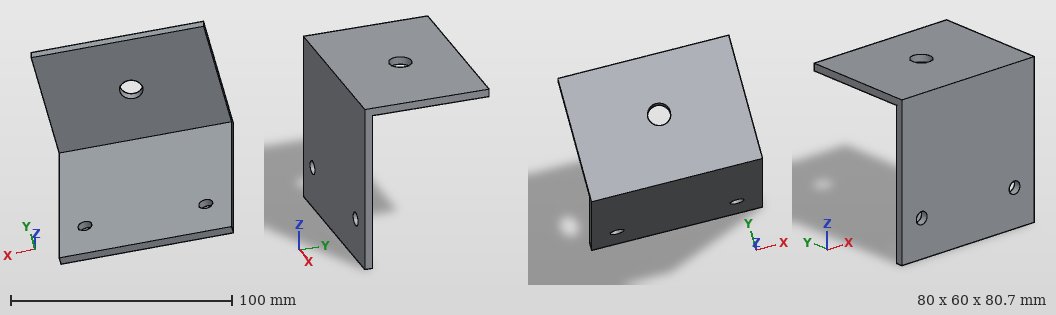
import cadquery as cq

width = 80.0
depth = 60.0
height = 80.7
thickness = 3.8

side_hole_diameter = 6.4
side_hole_spacing = 56.0
side_hole_height = 20.0

top_hole_diameter = 10.5
top_hole_from_back = 28.0


def box_from_front_corner(size_y, size_z, bottom):
    """Full-width plate centred on X with its front face at Y = 0."""
    plate = cq.Workplane("XY").box(width, size_y, size_z, centered=(True, False, False))
    return plate.translate((0, 0, bottom))


upright_plate = box_from_front_corner(thickness, height, 0)
top_plate = box_from_front_corner(depth, thickness, height - thickness)
bracket = upright_plate.union(top_plate)

side_holes = (
    cq.Workplane("XZ")
    .pushPoints([(side * side_hole_spacing / 2, side_hole_height) for side in (-1, 1)])
    .circle(side_hole_diameter / 2)
    .extrude(-thickness)
)

top_hole = (
    cq.Workplane("XY", origin=(0, depth - top_hole_from_back, height - thickness))
    .circle(top_hole_diameter / 2)
    .extrude(thickness)
)

result = bracket.cut(side_holes).cut(top_hole)